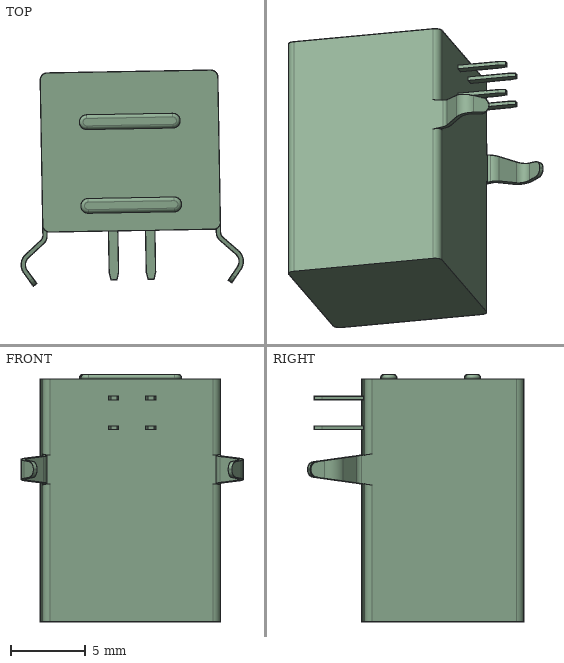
import cadquery as cq
import math

body_width = 12.0
body_depth = 10.75
body_height = 16.4
corner_radius = 0.5
turn_angle = 1.0

ridge_length = 6.8
ridge_width = 1.0
ridge_height = 0.3
ridge_edge_radius = 0.25
ridge_positions_y = (2.0, -3.65)

pin_width = 0.65
pin_thickness = 0.25
pin_length = 3.3
pin_tip_length = 0.5
pin_tip_narrowing = 0.12
pin_root_depth = 0.5
pin_pitch_x = 2.5
pin_depths_below_top = (1.3, 3.3)

clip_thickness = 0.3
clip_reach = 7.5
clip_straight = 0.21
clip_root_bend_radius = 0.45
clip_elbow_radius = 0.95
clip_splay = math.radians(48)
clip_return = math.radians(35)
clip_tip_length = 1.1
clip_tip_radius = 0.5
clip_depth_below_top = 6.12
clip_root_half_height = 1.05
clip_taper = math.radians(8)

half_width = body_width / 2
front_y = -body_depth / 2


def make_body():
    block = cq.Workplane("XY").box(body_width, body_depth, body_height, centered=(True, True, False))
    return block.edges("|Z").fillet(corner_radius)


def make_ridge(y):
    ridge = (
        cq.Workplane("XY", origin=(0, y, body_height))
        .slot2D(ridge_length, ridge_width)
        .extrude(ridge_height)
    )
    return ridge.faces(">Z").edges().fillet(ridge_edge_radius)


def make_pin(x, z):
    half = pin_width / 2
    tip_half = half - pin_tip_narrowing
    root_y = front_y + pin_root_depth
    tip_y = front_y - pin_length
    shoulder_y = tip_y + pin_tip_length
    outline = [
        (-half, root_y),
        (half, root_y),
        (half, shoulder_y),
        (tip_half, tip_y),
        (-tip_half, tip_y),
        (-half, shoulder_y),
    ]
    return (
        cq.Workplane("XY", origin=(x, 0, z - pin_thickness / 2))
        .polyline(outline)
        .close()
        .extrude(pin_thickness)
    )


def polar(center, radius, angle):
    return (center[0] + radius * math.cos(angle), center[1] + radius * math.sin(angle))


def make_clip():
    """Clip on the +X side: strip profile in XY, tapered in Z, with a rounded tip."""
    root_y = front_y + corner_radius
    bend_y = front_y - clip_straight
    root_center = (half_width + clip_root_bend_radius, bend_y)
    root_inner_radius = clip_root_bend_radius + clip_thickness
    elbow_inner_radius = clip_elbow_radius - clip_thickness

    bends_reach = (clip_root_bend_radius + clip_elbow_radius) * (1 - math.cos(clip_splay))
    slope_length = (clip_reach - half_width - bends_reach) / math.sin(clip_splay)
    slope_start = polar(root_center, clip_root_bend_radius, math.pi + clip_splay)
    slope_end = polar(slope_start, slope_length, clip_splay - math.pi / 2)
    elbow_center = polar(slope_end, clip_elbow_radius, math.pi + clip_splay)

    elbow_middle = (clip_splay - clip_return) / 2
    root_middle = math.pi + clip_splay / 2
    elbow_end = polar(elbow_center, clip_elbow_radius, -clip_return)
    elbow_inner_end = polar(elbow_center, elbow_inner_radius, -clip_return)
    tip_direction = -math.pi / 2 - clip_return
    tip_outer = polar(elbow_end, clip_tip_length, tip_direction)
    tip_inner = polar(elbow_inner_end, clip_tip_length, tip_direction)

    strip = (
        cq.Workplane("XY")
        .moveTo(half_width, root_y)
        .lineTo(half_width, bend_y)
        .threePointArc(polar(root_center, clip_root_bend_radius, root_middle), slope_start)
        .lineTo(*slope_end)
        .threePointArc(polar(elbow_center, clip_elbow_radius, elbow_middle), elbow_end)
        .lineTo(*tip_outer)
        .lineTo(*tip_inner)
        .lineTo(*elbow_inner_end)
        .threePointArc(
            polar(elbow_center, elbow_inner_radius, elbow_middle),
            polar(elbow_center, elbow_inner_radius, clip_splay),
        )
        .lineTo(*polar(root_center, root_inner_radius, math.pi + clip_splay))
        .threePointArc(
            polar(root_center, root_inner_radius, root_middle),
            (half_width - clip_thickness, bend_y),
        )
        .lineTo(half_width - clip_thickness, front_y)
        .lineTo(half_width - corner_radius, front_y)
        .lineTo(half_width - corner_radius, root_y)
        .close()
        .extrude(clip_root_half_height, both=True)
    )

    taper_end_y = min(tip_outer[1], tip_inner[1])
    end_half_height = clip_root_half_height - (root_y - taper_end_y) * math.tan(clip_taper)
    taper = (
        cq.Workplane("YZ")
        .polyline([
            (root_y, clip_root_half_height),
            (taper_end_y, end_half_height),
            (taper_end_y, -end_half_height),
            (root_y, -clip_root_half_height),
        ])
        .close()
        .extrude(clip_reach)
    )

    tip_middle = ((tip_outer[0] + tip_inner[0]) / 2, (tip_outer[1] + tip_inner[1]) / 2)
    clip = strip.intersect(taper)
    for side in (1, -1):
        corner = (tip_middle[0], tip_middle[1], side * end_half_height)
        clip = clip.edges(cq.selectors.NearestToPointSelector(corner)).fillet(clip_tip_radius)
    return clip.translate((0, 0, body_height - clip_depth_below_top))


part = make_body()
for ridge_y in ridge_positions_y:
    part = part.union(make_ridge(ridge_y))
for pin_depth in pin_depths_below_top:
    for pin_side in (-1, 1):
        part = part.union(make_pin(pin_side * pin_pitch_x / 2, body_height - pin_depth))
right_clip = make_clip()
part = part.union(right_clip).union(right_clip.mirror("YZ"))

result = part.rotate((0, 0, 0), (0, 0, 1), turn_angle)